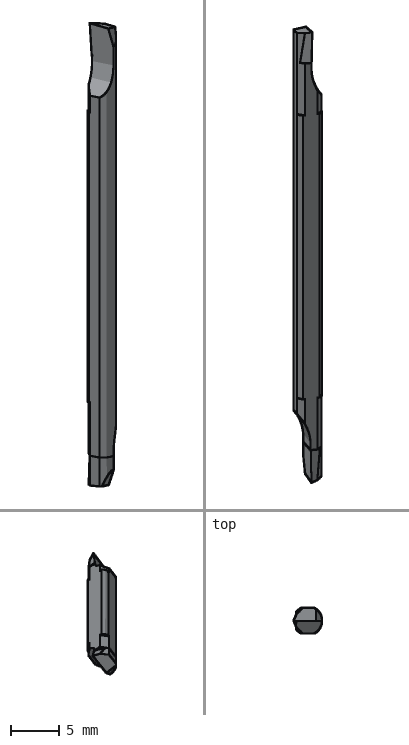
import cadquery as cq
import math

LENGTH = 50.0
BAR_DIAMETER = 3.0
SIDE_FLAT_Y = 1.35
BACK_FLAT_X = -1.2
CHAMFER = 0.675
CHAMFER_LENGTH = 9.25
TIP_LENGTH = 3.5
RAKE_LENGTH = 4.1
RUNOUT_RADIUS = 4.85
RAKE_Y = -0.05

FLANK_ROOT_X = -1.25
NOSE_X = 0.85
NOSE_DROP = 0.2
SLOPE_DROP = 2.0
FLANK_RELIEF = 0.4
END_RELIEF = 0.12

BAR_RADIUS = BAR_DIAMETER / 2
TOP_Z = LENGTH / 2
TIP_ROOT_Z = TOP_Z - TIP_LENGTH
RAKE_ROOT_Z = TOP_Z - RAKE_LENGTH


def flatted_bar(bottom_z, height):
    """Round bar with two Y flats and one -X flat."""
    bar = cq.Workplane("XY", origin=(0, 0, bottom_z)).circle(BAR_RADIUS).extrude(height)
    flats_width = BAR_RADIUS - BACK_FLAT_X
    flats_center_x = (BAR_RADIUS + BACK_FLAT_X) / 2
    envelope = (
        cq.Workplane("XY", origin=(flats_center_x, 0, bottom_z))
        .rect(flats_width, 2 * SIDE_FLAT_Y)
        .extrude(height)
    )
    return bar.intersect(envelope)


def bevelled_envelope(bottom_z, height):
    """Prism with Y flats and 45 degree bevels that meet in a point beyond the -X flat."""
    bevel_y = SIDE_FLAT_Y - CHAMFER
    point_x = BACK_FLAT_X - bevel_y
    bevel_end_x = BACK_FLAT_X + CHAMFER
    outline = [
        (point_x, 0),
        (bevel_end_x, SIDE_FLAT_Y),
        (BAR_RADIUS, SIDE_FLAT_Y),
        (BAR_RADIUS, -SIDE_FLAT_Y),
        (bevel_end_x, -SIDE_FLAT_Y),
    ]
    return cq.Workplane("XY", origin=(0, 0, bottom_z)).polyline(outline).close().extrude(height)


def runout_cutter():
    """Material removed in front of the upper rake face, blending out along an arc."""
    arc_rise = RAKE_Y + SIDE_FLAT_Y
    arc_angle = math.acos(1 - arc_rise / RUNOUT_RADIUS)

    def arc_point(angle):
        y = RAKE_Y - RUNOUT_RADIUS * (1 - math.cos(angle))
        z = RAKE_ROOT_Z - RUNOUT_RADIUS * math.sin(angle)
        return y, z

    return (
        cq.Workplane("YZ", origin=(-BAR_RADIUS, 0, 0))
        .moveTo(-SIDE_FLAT_Y, TOP_Z)
        .lineTo(RAKE_Y, TOP_Z)
        .lineTo(RAKE_Y, RAKE_ROOT_Z)
        .threePointArc(arc_point(arc_angle / 2), arc_point(arc_angle))
        .close()
        .extrude(BAR_DIAMETER)
    )


def cutting_profile(distance):
    """Tip outline in XZ at the given distance behind the rake face."""
    side_setback = FLANK_RELIEF * distance
    end_setback = END_RELIEF * distance
    end_slope = NOSE_DROP / (NOSE_X + BAR_RADIUS)
    flank_slope = (FLANK_ROOT_X + BAR_RADIUS) / TIP_LENGTH
    corner_inset = (flank_slope * end_setback + side_setback) / (1 - end_slope * flank_slope)
    corner_drop = end_slope * corner_inset + end_setback
    return [
        (FLANK_ROOT_X + side_setback, TIP_ROOT_Z),
        (corner_inset - BAR_RADIUS, TOP_Z - corner_drop),
        (NOSE_X, TOP_Z - NOSE_DROP - end_setback),
        (BAR_RADIUS, TOP_Z - SLOPE_DROP - end_setback),
        (BAR_RADIUS, TIP_ROOT_Z),
    ]


def make_tip():
    """Upper cutting tip, relieved behind the rake face."""
    depth = SIDE_FLAT_Y - RAKE_Y
    wedge = (
        cq.Workplane("XZ", origin=(0, RAKE_Y, 0))
        .polyline(cutting_profile(0))
        .close()
        .workplane(offset=-depth)
        .polyline(cutting_profile(depth))
        .close()
        .loft(ruled=True)
    )
    round_bar = cq.Workplane("XY", origin=(0, 0, TIP_ROOT_Z)).circle(BAR_RADIUS).extrude(TIP_LENGTH)
    return wedge.intersect(round_bar).intersect(bevelled_envelope(TIP_ROOT_Z, TIP_LENGTH))


def turn_end_for_end(body):
    """Half turn about X, carrying the upper end to the lower end."""
    return body.rotate((0, 0, 0), (1, 0, 0), 180)


def make_bar_end():
    """Bevelled upper end of the bar, up to the root of the tip."""
    bottom_z = TOP_Z - CHAMFER_LENGTH
    height = CHAMFER_LENGTH - TIP_LENGTH
    end = flatted_bar(bottom_z, height).intersect(bevelled_envelope(bottom_z, height))
    return end.cut(runout_cutter())


def make_holder():
    """Bar with two bevelled ends and the integral upper tip."""
    middle_length = LENGTH - 2 * CHAMFER_LENGTH
    middle = flatted_bar(-middle_length / 2, middle_length)
    end = make_bar_end()
    return middle.union(end).union(turn_end_for_end(end)).union(make_tip())


holder = make_holder().solids()
lower_tip = turn_end_for_end(make_tip()).solids()

result = cq.Compound.makeCompound([holder.val(), lower_tip.val()])